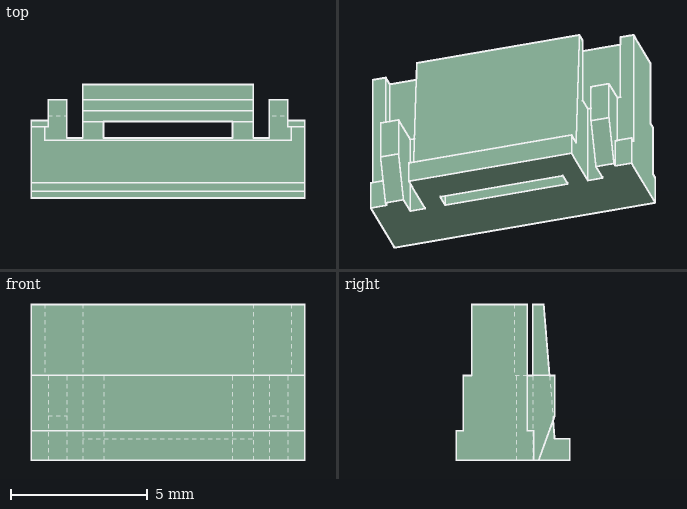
import cadquery as cq

length = 10.0
height = 5.7
base_height = 1.09
shoulder_height = 3.1
shoulder_inset = 0.25
upper_inset = 0.56
end_wall_back = 2.6
base_back = 2.84

back_wall = 2.2
recess_floor_back = 2.12
recess_margin = 0.5

ear_start = 0.62
ear_end = 1.31
ear_back = 3.6
ear_bevel_height = 1.63
ear_foot_back = 3.01

latch_start = 1.88
latch_front = 2.79
latch_top_back = 3.2
latch_lip_back = 3.6
lip_back = 4.15
lip_height = 0.79
post_width = 0.77


def box(x_range, y_range, z_range):
    """Box spanning the given (start, end) pairs."""
    spans = (x_range, y_range, z_range)
    sizes = [end - start for start, end in spans]
    corner = tuple(start for start, end in spans)
    return cq.Workplane("XY").box(*sizes, centered=False).translate(corner)


def side_profile(points, x_start, x_end):
    """Extrude a closed Y-Z outline from x_start to x_end."""
    plane = cq.Workplane("YZ", origin=(x_start, 0, 0))
    return plane.polyline(points).close().extrude(x_end - x_start)


def make_housing():
    """Stepped block, cut back behind its rear wall."""
    outline = [
        (0, 0),
        (0, base_height),
        (shoulder_inset, base_height),
        (shoulder_inset, shoulder_height),
        (upper_inset, shoulder_height),
        (upper_inset, height),
        (end_wall_back, height),
        (end_wall_back, base_height),
        (base_back, base_height),
        (base_back, 0),
    ]
    block = side_profile(outline, 0, length)
    upper_recess = box(
        (recess_margin, length - recess_margin), (recess_floor_back, base_back), (shoulder_height, height)
    )
    lower_recess = box((ear_start, length - ear_start), (back_wall, base_back), (0, shoulder_height))
    return block.cut(upper_recess).cut(lower_recess)


def make_ear():
    """Left ear, bevelled at the bottom of its rear face."""
    outline = [
        (recess_floor_back, 0),
        (recess_floor_back, shoulder_height),
        (ear_back, shoulder_height),
        (ear_back, ear_bevel_height),
        (ear_foot_back, 0),
    ]
    return side_profile(outline, ear_start, ear_end)


def make_post():
    """Left post joining the latch to the rear wall."""
    return box((latch_start, latch_start + post_width), (recess_floor_back, latch_front), (0, shoulder_height))


def make_latch():
    """Tapered latch plate with a finger lip along its bottom."""
    outline = [
        (latch_front, 0),
        (latch_front, height),
        (latch_top_back, height),
        (latch_lip_back, lip_height),
        (lip_back, lip_height),
        (lip_back, 0),
    ]
    return side_profile(outline, latch_start, length - latch_start)


result = make_housing().union(make_latch())
for left_piece in (make_ear(), make_post()):
    right_piece = left_piece.mirror("YZ", (length / 2, 0, 0))
    result = result.union(left_piece).union(right_piece)